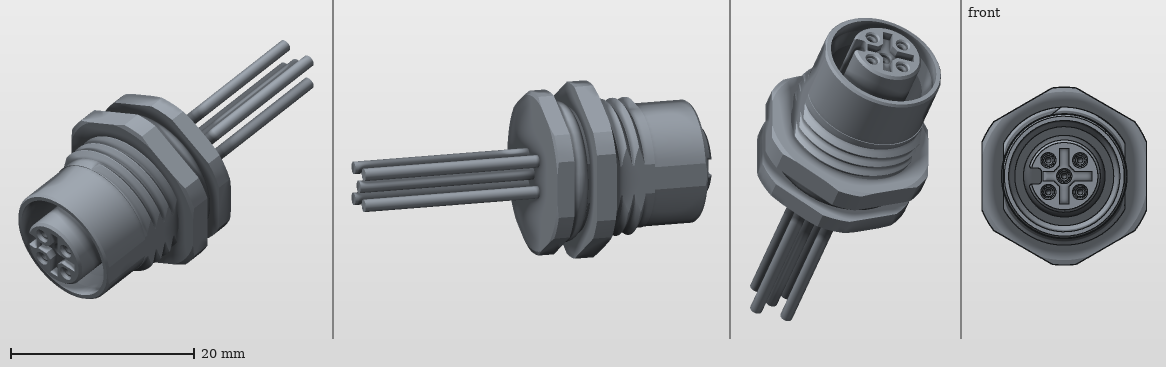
import cadquery as cq
import math


SHELL_FRONT = 1.42
RELIEF_FRONT = 7.55
NUT_FRONT = 12.7
NUT_BACK = 15.05
ORING_FRONT = 15.33
FLANGE_FRONT = 17.5
FLANGE_BACK = 19.45
WIRE_END = 39.5

SHELL_RADIUS = 6.75
SHELL_CHAMFER_LENGTH = 0.28
SHELL_CHAMFER_DEPTH = 0.2
ROOT_RADIUS = 6.85
COLLAR_RADIUS = 7.0
FLAT_HALF_WIDTH = 6.65

PITCH = 1.42
CREST_RADIUS = 7.55
CREST_WIDTH = 0.08
THREAD_BASE_WIDTH = 1.35
THREAD_TURNS = 3.8
THREAD_START_X = -1.42
RUNOUT_LENGTH = 1.05
THREAD_START_Y = 8.18
THREAD_OVERLAP = 0.08

MOUTH_RADIUS = 6.1
SOCKET_RADIUS = 5.4
MOUTH_DEPTH = 1.55
TAPER_END_DEPTH = 2.92
SOCKET_FLOOR = 9.88

INSERT_RADIUS = 3.95
INSERT_CHAMFER = 0.28
PEDESTAL_RADIUS = 4.45
PEDESTAL_ROUND = 0.9
PEDESTAL_SINK = 0.4
KEYWAY_HALF_WIDTH = 0.85
KEYWAY_FLOOR = 2.5
KEYWAY_CORNER = 0.4
KEYWAY_MOUTH_ROUND = 0.25
CROSS_WIDTH = 1.05
CROSS_REACH = 3.05
CROSS_KEY_REACH = 2.35
CROSS_HUB_CHAMFER = 0.6
CROSS_DEPTH = 1.0

CONTACT_OFFSET = 1.75
CONTACT_RADIUS = 0.83
CONTACT_LEAD_IN = 0.15
CONTACT_FUNNEL = 0.2
CONTACT_RECESS = 0.47
BORE_RADIUS = 0.3
BORE_DEPTH = 3.15
WIRE_DIAMETER = 1.4

NUT_ACROSS_FLATS = 18.0
NUT_CORNER_DIAMETER = 19.47
NUT_BORE_RADIUS = 6.87
NUT_FACE_RADIUS = 9.2
FLANGE_ACROSS_FLATS = 17.0
FLANGE_CORNER_DIAMETER = 18.1
FLANGE_FACE_RADIUS = 8.6
HEX_BEVEL = 0.15
ORING_OUTER_RADIUS = 7.8
ORING_SECTION_RADIUS = (FLANGE_FRONT - ORING_FRONT) / 2

OUTER_CONTACTS = [
    (sx * CONTACT_OFFSET, sz * CONTACT_OFFSET) for sx in (-1, 1) for sz in (-1, 1)
]


def revolve(profile):
    """Turn a closed (radius, y) sketch about the Y axis."""
    return profile.close().revolve(360, (0, 0, 0), (0, 1, 0))


def facing_front(y):
    """Workplane at height y whose local axes are X and Z and whose normal is -Y."""
    return cq.Workplane("XZ", origin=(0, y, 0))


def cylinder(radius, front, back, points=((0, 0),)):
    """Cylinders along Y between two positions, centred on (x, z) points."""
    return facing_front(back).pushPoints(points).circle(radius).extrude(back - front)


def shell_body():
    return revolve(
        cq.Workplane("XY")
        .moveTo(0, SHELL_FRONT)
        .lineTo(SHELL_RADIUS - SHELL_CHAMFER_DEPTH, SHELL_FRONT)
        .lineTo(SHELL_RADIUS, SHELL_FRONT + SHELL_CHAMFER_LENGTH)
        .lineTo(SHELL_RADIUS, RELIEF_FRONT)
        .lineTo(ROOT_RADIUS, RELIEF_FRONT)
        .lineTo(ROOT_RADIUS, NUT_FRONT)
        .lineTo(COLLAR_RADIUS, NUT_FRONT)
        .lineTo(COLLAR_RADIUS, ORING_FRONT)
        .lineTo(ROOT_RADIUS, ORING_FRONT)
        .lineTo(ROOT_RADIUS, FLANGE_FRONT)
        .lineTo(0, FLANGE_FRONT)
    )


def thread():
    """Right-hand V ridge, built along Z and then laid along Y, with a sloped start."""
    inner_radius = ROOT_RADIUS - THREAD_OVERLAP
    helix = cq.Wire.makeHelix(PITCH, PITCH * THREAD_TURNS, inner_radius)
    ridge = (
        cq.Workplane("XZ")
        .moveTo(inner_radius, -THREAD_BASE_WIDTH / 2)
        .lineTo(CREST_RADIUS, -CREST_WIDTH / 2)
        .lineTo(CREST_RADIUS, CREST_WIDTH / 2)
        .lineTo(inner_radius, THREAD_BASE_WIDTH / 2)
        .close()
        .sweep(cq.Workplane(obj=helix), isFrenet=True)
    )
    start_angle = -90 + math.degrees(math.asin(THREAD_START_X / ROOT_RADIUS))
    ridge = (
        ridge.rotate((0, 0, 0), (0, 0, 1), start_angle)
        .rotate((0, 0, 0), (1, 0, 0), -90)
        .translate((0, THREAD_START_Y, 0))
    )
    slope_foot = math.sqrt(ROOT_RADIUS**2 - THREAD_START_X**2)
    runout = (
        facing_front(THREAD_START_Y + PITCH / 2)
        .moveTo(THREAD_START_X - RUNOUT_LENGTH, slope_foot)
        .lineTo(THREAD_START_X, slope_foot)
        .lineTo(THREAD_START_X + RUNOUT_LENGTH, CREST_RADIUS)
        .lineTo(THREAD_START_X - RUNOUT_LENGTH, CREST_RADIUS)
        .close()
        .extrude(PITCH)
    )
    return ridge.cut(runout)


def side_flats():
    """Blocks that shave both X sides of the shell and thread."""
    length = ORING_FRONT - SHELL_FRONT
    block_width = CREST_RADIUS
    block = cq.Workplane("XY").box(block_width, length, 2 * CREST_RADIUS)
    offset = FLAT_HALF_WIDTH + block_width / 2
    middle = SHELL_FRONT + length / 2
    return block.translate((offset, middle, 0)).union(block.translate((-offset, middle, 0)))


def socket():
    return revolve(
        cq.Workplane("XY")
        .moveTo(0, SHELL_FRONT)
        .lineTo(MOUTH_RADIUS, SHELL_FRONT)
        .lineTo(MOUTH_RADIUS, SHELL_FRONT + MOUTH_DEPTH)
        .lineTo(SOCKET_RADIUS, SHELL_FRONT + TAPER_END_DEPTH)
        .lineTo(SOCKET_RADIUS, SOCKET_FLOOR)
        .lineTo(0, SOCKET_FLOOR)
    )


def keyway():
    """Round-cornered slot along the -X side of the insert."""
    reach = 2 * INSERT_RADIUS
    return (
        facing_front(SOCKET_FLOOR)
        .center(-KEYWAY_FLOOR - reach / 2, 0)
        .rect(reach, 2 * KEYWAY_HALF_WIDTH)
        .extrude(SOCKET_FLOOR)
        .edges("|Y and >X")
        .fillet(KEYWAY_CORNER)
    )


def cross_slot():
    arm_length = CROSS_REACH + CROSS_KEY_REACH
    arm_x = (
        facing_front(CROSS_DEPTH)
        .center((CROSS_REACH - CROSS_KEY_REACH) / 2, 0)
        .rect(arm_length, CROSS_WIDTH)
        .extrude(CROSS_DEPTH)
    )
    arm_z = facing_front(CROSS_DEPTH).rect(CROSS_WIDTH, 2 * CROSS_REACH).extrude(CROSS_DEPTH)
    hub_half_diagonal = CROSS_WIDTH + CROSS_HUB_CHAMFER
    hub = (
        facing_front(CROSS_DEPTH)
        .polygon(4, 2 * hub_half_diagonal)
        .extrude(CROSS_DEPTH)
    )
    return arm_x.union(arm_z).union(hub)


def contact_hole():
    """Stepped hole: lead-in cone, recess, then the pointed bore of the contact."""
    throat_radius = CONTACT_RADIUS - CONTACT_LEAD_IN
    return revolve(
        cq.Workplane("XY")
        .lineTo(CONTACT_RADIUS, 0)
        .lineTo(throat_radius, CONTACT_LEAD_IN)
        .lineTo(throat_radius, CONTACT_RECESS)
        .lineTo(BORE_RADIUS + CONTACT_FUNNEL, CONTACT_RECESS)
        .lineTo(BORE_RADIUS, CONTACT_RECESS + CONTACT_FUNNEL)
        .lineTo(BORE_RADIUS, BORE_DEPTH)
        .lineTo(0, BORE_DEPTH + BORE_RADIUS)
    )


def insert():
    body = cylinder(INSERT_RADIUS, 0, SOCKET_FLOOR).cut(keyway())
    mouth_x = -math.sqrt(INSERT_RADIUS**2 - KEYWAY_HALF_WIDTH**2)
    middle = SOCKET_FLOOR / 2
    for mouth_z in (-KEYWAY_HALF_WIDTH, KEYWAY_HALF_WIDTH):
        mouth_edge = cq.selectors.NearestToPointSelector((mouth_x, middle, mouth_z))
        body = body.edges("|Y").edges(mouth_edge).fillet(KEYWAY_MOUTH_ROUND)
    bevelled = cylinder(INSERT_RADIUS, 0, SOCKET_FLOOR).faces("<Y").chamfer(INSERT_CHAMFER)
    body = body.intersect(bevelled)
    pedestal = cylinder(
        PEDESTAL_RADIUS, SOCKET_FLOOR - PEDESTAL_ROUND, SOCKET_FLOOR + PEDESTAL_SINK
    )
    pedestal = pedestal.faces("<Y").edges().fillet(PEDESTAL_ROUND)
    body = body.union(pedestal).cut(cross_slot())
    for x, z in OUTER_CONTACTS:
        body = body.cut(contact_hole().translate((x, 0, z)))
    return body.cut(contact_hole().translate((0, CROSS_DEPTH, 0)))


def trimmed_hex(across_flats, corner_diameter, face_radius, front, back):
    """Hexagon along Y, flats on +-X, corners turned round and front face bevelled."""
    hexagon = (
        facing_front(back)
        .transformed(rotate=(0, 0, 30))
        .polygon(6, across_flats / math.cos(math.radians(30)))
        .extrude(back - front)
    )
    corner_radius = corner_diameter / 2
    blank = cylinder(corner_radius, front, back)
    blank = blank.faces("<Y").chamfer(HEX_BEVEL, corner_radius - face_radius)
    return hexagon.intersect(blank)


def nut():
    body = trimmed_hex(
        NUT_ACROSS_FLATS, NUT_CORNER_DIAMETER, NUT_FACE_RADIUS, NUT_FRONT, NUT_BACK
    )
    return body.cut(cylinder(NUT_BORE_RADIUS, NUT_FRONT, NUT_BACK))


def flange():
    """Rear hexagon; its bevel is on the wire side, so it is built turned end for end."""
    return trimmed_hex(
        FLANGE_ACROSS_FLATS,
        FLANGE_CORNER_DIAMETER,
        FLANGE_FACE_RADIUS,
        -FLANGE_BACK,
        -FLANGE_FRONT,
    ).mirror("XZ")


def oring():
    """Seal ring; only its outer half is rounded, the inner half merges with the shell."""
    centre_radius = ORING_OUTER_RADIUS - ORING_SECTION_RADIUS
    return revolve(
        cq.Workplane("XY")
        .moveTo(0, ORING_FRONT)
        .lineTo(centre_radius, ORING_FRONT)
        .threePointArc(
            (ORING_OUTER_RADIUS, ORING_FRONT + ORING_SECTION_RADIUS),
            (centre_radius, FLANGE_FRONT),
        )
        .lineTo(0, FLANGE_FRONT)
    )


flats = side_flats()
shell = shell_body().cut(flats).cut(socket()).union(thread().cut(flats))
wires = cylinder(WIRE_DIAMETER / 2, FLANGE_BACK, WIRE_END, [(0, 0)] + OUTER_CONTACTS)

result = shell.union(nut()).union(flange()).union(oring()).union(insert()).union(wires)